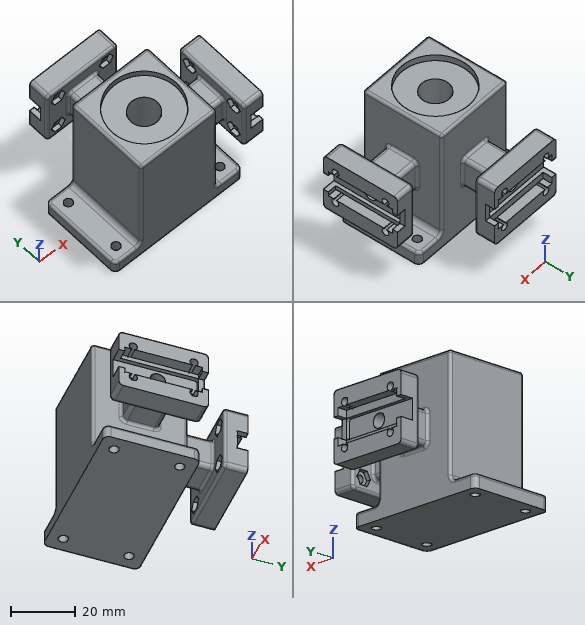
import cadquery as cq
import math

BASE_LENGTH = 54.0
TOWER_SIDE = 32.0
TOWER_HEIGHT = 48.5
BASE_THICKNESS = 5.0
BASE_CORNER_RADIUS = 2.0
TOWER_FOOT_RADIUS = 2.0
EDGE_RADIUS = 1.0

MOUNT_HOLE_DIAMETER = 3.2
MOUNT_HOLE_INSET = 5.0

RECESS_DIAMETER = 27.25
RECESS_DEPTH = 2.5
BORE_TOP_DIAMETER = 11.0
BORE_BOTTOM_DIAMETER = 7.9
BORE_FLOOR_HEIGHT = 2.0
BORE_FLOOR_RADIUS = 0.95

ARM_AXIS_HEIGHT = 25.0
ARM_SIDE = 12.0
ARM_EDGE_RADIUS = 1.5
CABLE_BORE_DIAMETER = 5.0

HEAD_REACH = 36.5
HEAD_THICKNESS = 8.0
HEAD_WIDTH = 30.0
HEAD_HEIGHT_X = 22.4
HEAD_HEIGHT_Y = 24.6
HEAD_EDGE_RADIUS = 1.5
HEAD_END_WALL = 2.0
HEAD_SIDE_WALL = 6.0
POCKET_DEPTH = 3.6
CABLE_SLOT_HEIGHT = 7.25
CABLE_SLOT_DEPTH = 5.0
CABLE_SLOT_END_RADIUS = 0.75

SCREW_HOLE_DIAMETER = 2.7
SCREW_SPACING_WIDE = 20.3
SCREW_EDGE_DISTANCE = 4.7
NUT_ACROSS_FLATS = 5.1
NUT_TRAP_DEPTH = 1.65

HEAD_BACK = HEAD_REACH - HEAD_THICKNESS

SELECTION_MARGIN = 0.05


def make_tower():
    """Base flanges and tower as one profile, rounded along its exposed edges."""
    half_base = BASE_LENGTH / 2
    half_tower = TOWER_SIDE / 2
    profile = [
        (-half_base, 0),
        (half_base, 0),
        (half_base, BASE_THICKNESS),
        (half_tower, BASE_THICKNESS),
        (half_tower, TOWER_HEIGHT),
        (-half_tower, TOWER_HEIGHT),
        (-half_tower, BASE_THICKNESS),
        (-half_base, BASE_THICKNESS),
    ]
    body = cq.Workplane("XZ").polyline(profile).close().extrude(half_tower, both=True)

    foot_edges = cq.selectors.BoxSelector(
        (-half_tower - SELECTION_MARGIN, -half_tower, BASE_THICKNESS - SELECTION_MARGIN),
        (half_tower + SELECTION_MARGIN, half_tower, BASE_THICKNESS + SELECTION_MARGIN),
    )
    body = body.edges("|Y").edges(foot_edges).fillet(TOWER_FOOT_RADIUS)
    body = body.edges("|Z").edges("<Z").fillet(BASE_CORNER_RADIUS)

    tower_corners = body.edges("|Z").edges(">Z")
    return body.edges(">Z").add(tower_corners).fillet(EDGE_RADIUS)


def cut_mounting_holes(body):
    """Four through holes near the corners of the base."""
    spacing_x = BASE_LENGTH - 2 * MOUNT_HOLE_INSET
    spacing_y = TOWER_SIDE - 2 * MOUNT_HOLE_INSET
    holes = (
        cq.Workplane("XY")
        .rect(spacing_x, spacing_y, forConstruction=True)
        .vertices()
        .circle(MOUNT_HOLE_DIAMETER / 2)
        .extrude(BASE_THICKNESS)
    )
    return body.cut(holes)


def cut_bore(body):
    """Shallow round recess with a blind bore that tapers down to a rounded floor."""
    recess_floor = TOWER_HEIGHT - RECESS_DEPTH
    recess = (
        cq.Workplane("XY", origin=(0, 0, recess_floor))
        .circle(RECESS_DIAMETER / 2)
        .extrude(RECESS_DEPTH)
    )
    bore = (
        cq.Workplane("XZ")
        .moveTo(0, BORE_FLOOR_HEIGHT)
        .lineTo(-BORE_BOTTOM_DIAMETER / 2, BORE_FLOOR_HEIGHT)
        .lineTo(-BORE_TOP_DIAMETER / 2, recess_floor)
        .lineTo(0, recess_floor)
        .close()
        .revolve(360, (0, 0, 0), (0, 1, 0))
        .faces("<Z")
        .edges()
        .fillet(BORE_FLOOR_RADIUS)
    )
    return body.cut(recess).cut(bore)


def box_along_x(start, end, width, height):
    """Box between two X positions, centred on the arm axis."""
    return (
        cq.Workplane("YZ", origin=(start, 0, ARM_AXIS_HEIGHT))
        .rect(width, height)
        .extrude(end - start)
    )


def make_arm(head_height):
    """Rounded square arm along +X with a head at its end, flared at both joints."""
    tower_wall = TOWER_SIDE / 2
    arm = box_along_x(tower_wall, HEAD_BACK, ARM_SIDE, ARM_SIDE).edges("|X").fillet(ARM_EDGE_RADIUS)
    head = (
        box_along_x(HEAD_BACK, HEAD_REACH, HEAD_WIDTH, head_height)
        .edges("|X")
        .fillet(HEAD_EDGE_RADIUS)
        .faces("<X")
        .edges()
        .fillet(EDGE_RADIUS)
    )
    pad_side = ARM_SIDE + 4 * EDGE_RADIUS
    pad = box_along_x(tower_wall - EDGE_RADIUS, tower_wall, pad_side, pad_side)
    reach = ARM_SIDE / 2 + SELECTION_MARGIN
    joint_edges = cq.selectors.BoxSelector(
        (tower_wall - SELECTION_MARGIN, -reach, ARM_AXIS_HEIGHT - reach),
        (HEAD_BACK + SELECTION_MARGIN, reach, ARM_AXIS_HEIGHT + reach),
        boundingbox=True,
    )
    return pad.union(arm).union(head).edges(joint_edges).edges("not |X").fillet(EDGE_RADIUS)


def make_head_cavity(head_height, slot_side):
    """Pocket, cable slot and cable bore; slot_side (+1 or -1) is the Y side of the deep slot."""
    pocket_floor = HEAD_REACH - POCKET_DEPTH
    pocket_width = HEAD_WIDTH - 2 * HEAD_END_WALL
    pocket = box_along_x(pocket_floor, HEAD_REACH, pocket_width, head_height - 2 * HEAD_SIDE_WALL)
    shallow_slot = box_along_x(pocket_floor, HEAD_REACH, HEAD_WIDTH, CABLE_SLOT_HEIGHT)

    deep_slot = (
        box_along_x(HEAD_REACH - CABLE_SLOT_DEPTH, HEAD_REACH, HEAD_WIDTH, CABLE_SLOT_HEIGHT)
        .translate((0, slot_side * HEAD_END_WALL, 0))
        .edges("|X")
        .edges("<Y" if slot_side > 0 else ">Y")
        .fillet(CABLE_SLOT_END_RADIUS)
    )
    cable_bore = (
        cq.Workplane("YZ", origin=(0, 0, ARM_AXIS_HEIGHT))
        .circle(CABLE_BORE_DIAMETER / 2)
        .extrude(pocket_floor)
    )
    return pocket.union(shallow_slot).union(deep_slot).union(cable_bore)


def make_nut_traps(head_height):
    """Screw holes through the head, each with a hexagonal nut trap on the tower side."""
    spacing_high = head_height - 2 * SCREW_EDGE_DISTANCE
    plane = cq.Workplane("YZ", origin=(HEAD_BACK, 0, ARM_AXIS_HEIGHT))
    centres = plane.rect(SCREW_SPACING_WIDE, spacing_high, forConstruction=True).vertices()
    holes = centres.circle(SCREW_HOLE_DIAMETER / 2).extrude(HEAD_THICKNESS)
    corner_diameter = NUT_ACROSS_FLATS / math.cos(math.pi / 6)
    traps = centres.polygon(6, corner_diameter).extrude(NUT_TRAP_DEPTH)
    return holes.union(traps)


def add_sensor_arm(body, head_height, direction, slot_side):
    """Add one arm, turned from +X to the given direction in degrees."""
    def turn(shape):
        return shape.rotate((0, 0, 0), (0, 0, 1), direction)

    body = body.union(turn(make_arm(head_height)))
    body = body.cut(turn(make_head_cavity(head_height, slot_side)))
    return body.cut(turn(make_nut_traps(head_height)))


result = make_tower()
result = cut_mounting_holes(result)
result = add_sensor_arm(result, HEAD_HEIGHT_X, 0, -1)
result = add_sensor_arm(result, HEAD_HEIGHT_Y, 90, 1)
result = cut_bore(result)